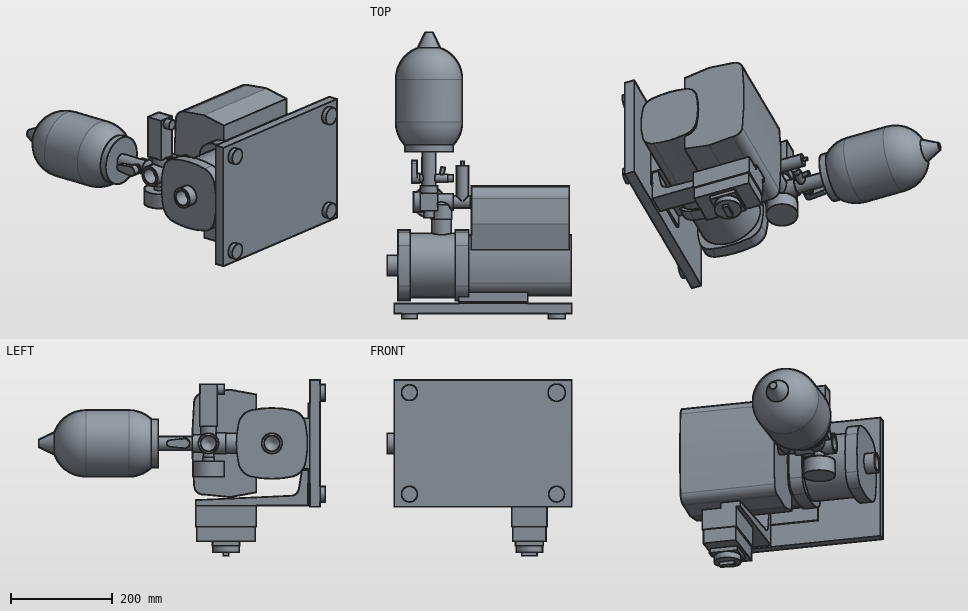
import cadquery as cq
import math


OVERALL_HEIGHT = 565.0
OVERALL_WIDTH = 346.75

PLATE_LENGTH = 350.0
PLATE_WIDTH = 250.0
PLATE_THICKNESS = 20.0
PLATE_TOP = -74.8
FOOT_HEIGHT = 10.5
FOOT_RADIUS = 15.5
LARGE_FOOT_RADIUS = 17.0
FOOT_INSET_X = 30.0
FOOT_INSET_Z = 25.0

NOZZLE_END = -14.0
NOZZLE_RADIUS = 20.0
BORE_RADIUS = 15.5
BORE_DEPTH = 30.0
DRILL_TIP_ANGLE = 118.0
FRONT_FLANGE = (7.0, 31.5)
REAR_FLANGE = (120.0, 147.0)
MOTOR_END = 349.0
BARREL_RADIUS = 63.5
FLANGE_HALF = 70.0
MOTOR_HALF_HEIGHT = 60.3
MOTOR_HALF_WIDTH = 66.0
CORNER_START = 40.0 / 70.0
CORNER_EDGE = 65.5 / 70.0
OUTLET_X = 93.3
OUTLET_RADIUS = 19.5
OUTLET_TOP = 91.0

SUPPORT_START = 127.5
SUPPORT_LENGTH = 136.0
SUPPORT_WIDTH = 100.0
SUPPORT_FLANGE_WIDTH = 159.0
SUPPORT_FLANGE_THICKNESS = 3.5

CONTROLLER_START = 152.0
CONTROLLER_END = 345.0
CONTROLLER_BOTTOM = (30.5, 96.5)
CONTROLLER_WIDEST = (82.5, 106.0)
CONTROLLER_CORNER_START = (132.5, 101.0)
CONTROLLER_CORNER_END = (153.5, 84.0)
CONTROLLER_TOP = 157.0

MANIFOLD_Y = 125.0
TANK_X = 68.5
TEE_END = 37.5
TEE_RADIUS = 20.0
CROSS_RADIUS = 16.5
CROSS_END = 116.5
ELBOW_RADIUS = 20.5
ELBOW_CONE_START = 119.5
SENSOR_RADIUS = 12.2
SENSOR_X = 134.4
SENSOR_TOP = 196.5
SENSOR_PIN_RADIUS = 3.2
SENSOR_PIN_TOP = 205.5
SENSOR_PIPE_END = 150.0

SWITCH_SIDE = 34.0
SWITCH_BOTTOM = 33.5
SWITCH_TOP = 117.0
SWITCH_NECK_RADIUS = 15.0
SWITCH_KNOB_RADIUS = 10.0
SWITCH_KNOB_LENGTH = 14.5
GAUGE_STEM_RADIUS = 10.6
GAUGE_COLLAR_RADIUS = 11.6
GAUGE_COLLAR_Z = -27.0
GAUGE_RADIUS = 31.0
GAUGE_FACE_Z = -35.0
GAUGE_THICKNESS = 30.5

COLLAR_RADIUS = 17.2
COLLAR_TOP = 157.0
STEM_RADIUS = 13.8
TANK_BASE_BOTTOM = 223.5
TANK_BASE_RADIUS = 48.0
TANK_RADIUS = 66.0
TANK_BASE_TOP = 237.6
TANK_SHELL_BOTTOM = 282.5
TANK_SHELL_TOP = 366.5
TANK_TIP_Y = PLATE_TOP - PLATE_THICKNESS - FOOT_HEIGHT + OVERALL_HEIGHT
TANK_TIP_RADIUS = 7.5
TANK_CONE_RADIUS = 22.5

VALVE_Y = 171.7
VALVE_RADIUS = 8.2
VALVE_BODY_END = 105.8
VALVE_TIP_RADIUS = 7.3
VALVE_TIP_END = 116.5
LEVER_X = 34.5
LEVER_THICKNESS = 10.5
LEVER_HUB_RADIUS = 9.8
LEVER_HUB_END = 50.0
LEVER_TAIL_RADIUS = 6.5
LEVER_TAIL_Y = 200.5
VENT_X = 92.0
VENT_RADIUS = 4.2
VENT_LENGTH = 22.3
VENT_TILT = 12.0

ROTARY_X = 266.2
BRACKET_WIDTH = 40.0
BRACKET_OUTER_Z = -122.8
BRACKET_TIP = (150.3, -111.6)
BRACKET_BEND_START = (-37.6, -103.0)
BRACKET_BEND_END = (-53.0, -89.0)
BRACKET_FOOT_INNER_Y = -59.0
BRACKET_FOOT_Z = -52.6
BRACKET_BASE_Y = PLATE_TOP + SUPPORT_FLANGE_THICKNESS
ROTARY_Y = 90.5
ROTARY_BOXES = (
    (70.0, 119.6, -164.2),
    (66.2, 116.2, -192.8),
    (55.0, 53.7, -201.8),
)
ROTARY_KNOB_RADIUS = 26.2
ROTARY_KNOB_END = -214.5
ROTARY_BAR_LENGTH = 30.4
ROTARY_BAR_WIDTH = 11.0
ROTARY_BAR_END = PLATE_WIDTH / 2 - OVERALL_WIDTH


def cylinder_x(radius, start, end, y=0.0):
    return cq.Workplane("YZ", origin=(start, y, 0)).circle(radius).extrude(end - start)


def cylinder_y(radius, start, end, x, z=0.0):
    return cq.Workplane("XZ", origin=(x, start, z)).circle(radius).extrude(start - end)


def cylinder_z(radius, start, end, x, y):
    return cq.Workplane("XY", origin=(x, y, start)).circle(radius).extrude(end - start)


def box(x_range, y_range, z_range):
    """Box between two limits on each axis."""
    sizes = [high - low for low, high in (x_range, y_range, z_range)]
    corner = (x_range[0], y_range[0], z_range[0])
    return cq.Workplane("XY").box(*sizes, centered=False).translate(corner)


def about(centre, size):
    """Limits of a span of the given size around a centre."""
    return (centre - size / 2, centre + size / 2)


def drilled_bore(start, y):
    """Blind bore along +X with a drill-tip bottom."""
    tip = BORE_RADIUS / math.tan(math.radians(DRILL_TIP_ANGLE / 2))
    profile = (
        cq.Workplane("XY")
        .moveTo(start, y)
        .lineTo(start, y + BORE_RADIUS)
        .lineTo(start + BORE_DEPTH, y + BORE_RADIUS)
        .lineTo(start + BORE_DEPTH + tip, y)
        .close()
    )
    return profile.revolve(360, (start, y, 0), (start + 1, y, 0))


def rounded_block(half_height, half_width, start, end):
    """Prism along X whose outline has bulging sides and round corners."""
    widening = half_width - half_height
    inner_y = half_height * CORNER_START
    outer_y = half_height * CORNER_EDGE
    inner_z = inner_y + widening
    outer_z = outer_y + widening
    return (
        cq.Workplane("YZ", origin=(start, 0, 0))
        .moveTo(-inner_y, outer_z)
        .threePointArc((0, half_width), (inner_y, outer_z))
        .tangentArcPoint((outer_y, inner_z), relative=False)
        .threePointArc((half_height, 0), (outer_y, -inner_z))
        .tangentArcPoint((inner_y, -outer_z), relative=False)
        .threePointArc((0, -half_width), (-inner_y, -outer_z))
        .tangentArcPoint((-outer_y, -inner_z), relative=False)
        .threePointArc((-half_height, 0), (-outer_y, inner_z))
        .tangentArcPoint((-inner_y, outer_z), relative=False)
        .close()
        .extrude(end - start)
    )


def make_base():
    bottom = PLATE_TOP - PLATE_THICKNESS
    base = box((0, PLATE_LENGTH), (bottom, PLATE_TOP), about(0, PLATE_WIDTH))
    foot_z = PLATE_WIDTH / 2 - FOOT_INSET_Z
    far_x = PLATE_LENGTH - FOOT_INSET_X
    for x in (FOOT_INSET_X, far_x):
        for z in (-foot_z, foot_z):
            is_large = x == far_x and z > 0
            radius = LARGE_FOOT_RADIUS if is_large else FOOT_RADIUS
            base = base.union(cylinder_y(radius, bottom - FOOT_HEIGHT, bottom, x, z))
    return base


def make_controller():
    """Controller housing, symmetric about the shaft plane and closed by a bulging top."""
    corner_y, corner_z = CONTROLLER_CORNER_END
    start_y, start_z = CONTROLLER_CORNER_START
    widest_y, widest_z = CONTROLLER_WIDEST
    bottom_y, bottom_z = CONTROLLER_BOTTOM
    return (
        cq.Workplane("YZ", origin=(CONTROLLER_START, 0, 0))
        .moveTo(bottom_y, bottom_z)
        .lineTo(widest_y, widest_z)
        .lineTo(start_y, start_z)
        .tangentArcPoint((corner_y, corner_z), relative=False)
        .threePointArc((CONTROLLER_TOP, 0), (corner_y, -corner_z))
        .tangentArcPoint((start_y, -start_z), relative=False)
        .lineTo(widest_y, -widest_z)
        .lineTo(bottom_y, -bottom_z)
        .close()
        .extrude(CONTROLLER_END - CONTROLLER_START)
    )


def make_pump():
    pump = rounded_block(FLANGE_HALF, FLANGE_HALF, *FRONT_FLANGE)
    pump = pump.union(cylinder_x(BARREL_RADIUS, FRONT_FLANGE[1], REAR_FLANGE[0]))
    pump = pump.union(rounded_block(FLANGE_HALF, FLANGE_HALF, *REAR_FLANGE))
    pump = pump.union(rounded_block(MOTOR_HALF_HEIGHT, MOTOR_HALF_WIDTH, REAR_FLANGE[1], MOTOR_END))
    pump = pump.union(cylinder_x(NOZZLE_RADIUS, NOZZLE_END, FRONT_FLANGE[0]))
    pump = pump.cut(drilled_bore(NOZZLE_END, 0))
    pump = pump.union(cylinder_y(OUTLET_RADIUS, 0, OUTLET_TOP, OUTLET_X))

    support_x = (SUPPORT_START, SUPPORT_START + SUPPORT_LENGTH)
    flange_top = PLATE_TOP + SUPPORT_FLANGE_THICKNESS
    pump = pump.union(box(support_x, (flange_top, 0), about(0, SUPPORT_WIDTH)))
    pump = pump.union(box(support_x, (PLATE_TOP, flange_top), about(0, SUPPORT_FLANGE_WIDTH)))
    return pump.union(make_controller())


def make_elbow():
    """Upright fitting on the pump outlet with a tapered top."""
    profile = (
        cq.Workplane("XY")
        .moveTo(OUTLET_X, OUTLET_TOP)
        .lineTo(OUTLET_X + ELBOW_RADIUS, OUTLET_TOP)
        .lineTo(OUTLET_X + ELBOW_RADIUS, ELBOW_CONE_START)
        .lineTo(OUTLET_X + CROSS_RADIUS, MANIFOLD_Y)
        .lineTo(OUTLET_X, MANIFOLD_Y)
        .close()
    )
    return profile.revolve(360, (OUTLET_X, 0, 0), (OUTLET_X, 1, 0))


def make_manifold():
    manifold = cylinder_x(CROSS_RADIUS, TANK_X, CROSS_END, MANIFOLD_Y)
    manifold = manifold.union(make_elbow())
    manifold = manifold.union(cylinder_x(TEE_RADIUS, TEE_END, TANK_X, MANIFOLD_Y))
    manifold = manifold.union(cylinder_y(COLLAR_RADIUS, MANIFOLD_Y, COLLAR_TOP, TANK_X))
    manifold = manifold.union(cylinder_x(SENSOR_RADIUS, CROSS_END, SENSOR_PIPE_END, MANIFOLD_Y))
    manifold = manifold.union(cylinder_y(SENSOR_RADIUS, MANIFOLD_Y, SENSOR_TOP, SENSOR_X))
    return manifold.union(cylinder_y(SENSOR_PIN_RADIUS, SENSOR_TOP, SENSOR_PIN_TOP, SENSOR_X))


def make_pressure_switch():
    neck = cylinder_z(SWITCH_NECK_RADIUS, 0, SWITCH_BOTTOM, TANK_X, MANIFOLD_Y)
    side_x = about(TANK_X, SWITCH_SIDE)
    side_y = about(MANIFOLD_Y, SWITCH_SIDE)
    housing = box(side_x, side_y, (SWITCH_BOTTOM, SWITCH_TOP))
    knob_z = SWITCH_TOP - SWITCH_KNOB_RADIUS
    knob = cylinder_y(SWITCH_KNOB_RADIUS, side_y[0] - SWITCH_KNOB_LENGTH, side_y[0], TANK_X, knob_z)
    return neck.union(housing).union(knob)


def make_gauge():
    stem = cylinder_z(GAUGE_STEM_RADIUS, GAUGE_COLLAR_Z, 0, TANK_X, MANIFOLD_Y)
    collar = cylinder_z(GAUGE_COLLAR_RADIUS, GAUGE_FACE_Z, GAUGE_COLLAR_Z, TANK_X, MANIFOLD_Y)
    back_z = GAUGE_FACE_Z - GAUGE_THICKNESS
    dial = cylinder_z(GAUGE_RADIUS, back_z, GAUGE_FACE_Z, TANK_X, MANIFOLD_Y)
    return stem.union(collar).union(dial)


def make_tank():
    """Stem, base disc and shell, with spherical ends and a conical tip."""
    cone_y = TANK_SHELL_TOP + math.sqrt(TANK_RADIUS**2 - TANK_CONE_RADIUS**2)
    drop = TANK_SHELL_BOTTOM - TANK_BASE_TOP
    neck_radius = math.sqrt(TANK_RADIUS**2 - drop**2)
    diagonal = TANK_RADIUS * math.sqrt(0.5)
    lower_mid = math.asin(drop / TANK_RADIUS) / 2
    profile = (
        cq.Workplane("XY", origin=(TANK_X, 0, 0))
        .moveTo(0, COLLAR_TOP)
        .lineTo(STEM_RADIUS, COLLAR_TOP)
        .lineTo(STEM_RADIUS, TANK_BASE_BOTTOM)
        .lineTo(TANK_BASE_RADIUS, TANK_BASE_BOTTOM)
        .lineTo(TANK_BASE_RADIUS, TANK_BASE_TOP)
        .lineTo(neck_radius, TANK_BASE_TOP)
        .threePointArc(
            (TANK_RADIUS * math.cos(lower_mid), TANK_SHELL_BOTTOM - TANK_RADIUS * math.sin(lower_mid)),
            (TANK_RADIUS, TANK_SHELL_BOTTOM),
        )
        .lineTo(TANK_RADIUS, TANK_SHELL_TOP)
        .threePointArc((diagonal, TANK_SHELL_TOP + diagonal), (TANK_CONE_RADIUS, cone_y))
        .lineTo(TANK_TIP_RADIUS, TANK_TIP_Y)
        .lineTo(0, TANK_TIP_Y)
        .close()
    )
    return profile.revolve(360, (0, 0, 0), (0, 1, 0))


def make_lever():
    """Flat lever: a round hub and a smaller round tail joined by tangent sides."""
    distance = LEVER_TAIL_Y - VALVE_Y
    sine = (LEVER_HUB_RADIUS - LEVER_TAIL_RADIUS) / distance
    cosine = math.sqrt(1 - sine**2)
    hub_y = VALVE_Y + LEVER_HUB_RADIUS * sine
    hub_z = LEVER_HUB_RADIUS * cosine
    tail_y = LEVER_TAIL_Y + LEVER_TAIL_RADIUS * sine
    tail_z = LEVER_TAIL_RADIUS * cosine
    return (
        cq.Workplane("YZ", origin=(LEVER_X, 0, 0))
        .moveTo(hub_y, hub_z)
        .lineTo(tail_y, tail_z)
        .threePointArc((LEVER_TAIL_Y + LEVER_TAIL_RADIUS, 0), (tail_y, -tail_z))
        .lineTo(hub_y, -hub_z)
        .threePointArc((VALVE_Y - LEVER_HUB_RADIUS, 0), (hub_y, hub_z))
        .close()
        .extrude(LEVER_THICKNESS)
    )


def make_valve():
    valve = cylinder_x(VALVE_RADIUS, LEVER_HUB_END, VALVE_BODY_END, VALVE_Y)
    valve = valve.union(cylinder_x(VALVE_TIP_RADIUS, VALVE_BODY_END, VALVE_TIP_END, VALVE_Y))
    valve = valve.union(cylinder_x(LEVER_HUB_RADIUS, LEVER_X, LEVER_HUB_END, VALVE_Y))
    valve = valve.union(make_lever())
    vent = cylinder_y(VENT_RADIUS, VALVE_Y, VALVE_Y + VENT_LENGTH, VENT_X)
    vent = vent.rotate((VENT_X, VALVE_Y, 0), (VENT_X, VALVE_Y, 1), -VENT_TILT)
    return valve.union(vent)


def make_tank_set():
    tank_set = make_manifold()
    for part in (make_pressure_switch(), make_gauge(), make_tank(), make_valve()):
        tank_set = tank_set.union(part)
    return tank_set.cut(drilled_bore(TEE_END, MANIFOLD_Y))


def make_bracket():
    """Angle bracket standing beside the motor support, carrying the rotary switch."""
    support_end = SUPPORT_START + SUPPORT_LENGTH
    bracket = (
        cq.Workplane("YZ", origin=(support_end - BRACKET_WIDTH, 0, 0))
        .moveTo(BRACKET_BASE_Y, BRACKET_OUTER_Z)
        .lineTo(BRACKET_TIP[0], BRACKET_OUTER_Z)
        .lineTo(*BRACKET_TIP)
        .lineTo(*BRACKET_BEND_START)
        .tangentArcPoint(BRACKET_BEND_END, relative=False)
        .lineTo(BRACKET_FOOT_INNER_Y, BRACKET_FOOT_Z)
        .lineTo(BRACKET_BASE_Y, BRACKET_FOOT_Z)
        .close()
        .extrude(BRACKET_WIDTH)
    )
    inner_z = BRACKET_OUTER_Z
    for size_x, size_y, outer_z in ROTARY_BOXES:
        step = box(about(ROTARY_X, size_x), about(ROTARY_Y, size_y), (outer_z, inner_z))
        bracket = bracket.union(step)
        inner_z = outer_z
    knob = cylinder_z(ROTARY_KNOB_RADIUS, ROTARY_KNOB_END, inner_z, ROTARY_X, ROTARY_Y)
    bar_x = about(ROTARY_X, ROTARY_BAR_LENGTH)
    bar_y = about(ROTARY_Y, ROTARY_BAR_WIDTH)
    bar = box(bar_x, bar_y, (ROTARY_BAR_END, ROTARY_KNOB_END))
    return bracket.union(knob).union(bar)


base = make_base()
pump = make_pump()
tank_set = make_tank_set()
bracket = make_bracket()

bodies = (base, pump, tank_set, bracket)
result = cq.Compound.makeCompound([body.solids().val() for body in bodies])